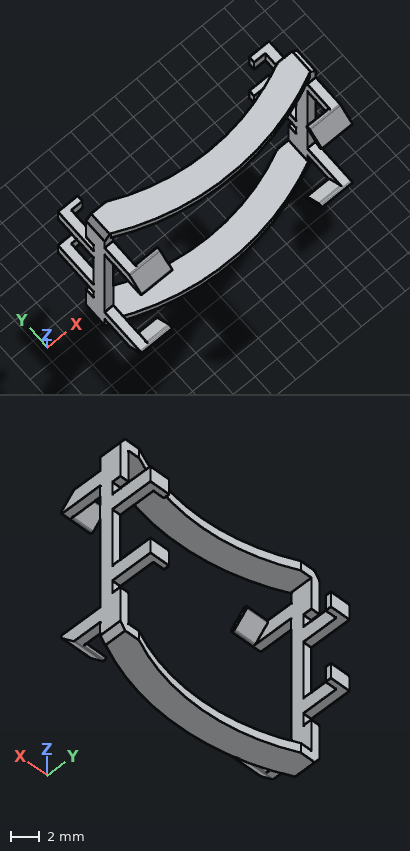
import cadquery as cq
import math

frame_width = 19.3
frame_height = 19.0
half_width = frame_width / 2
half_height = frame_height / 2

post_thickness = 0.8
post_depth = 1.2
post_end_depth = 2.0
post_end_start = 5.48
corner_chamfer_x = 0.46
corner_chamfer_z = 0.65

bar_height = 0.95
bow_half_width = 9.09
bow_depth = 2.1
bow_flat_half_width = 0.96
inner_bow_half_width = 7.84
inner_bow_lowest = 0.21

rear_reach = 5.0
rear_lip_length = 1.81
rear_lip_thickness = 0.52
rear_hook_bottom = 2.78

hook_height = 1.5
catch_bottom = 6.0
catch_width = 2.82
catch_reach = 3.92
catch_plate_thickness = 0.39
catch_fillet = 0.15


def box(x0, x1, y0, y1, z0, z1):
    """Block between two opposite corners."""
    return cq.Workplane("XY").box(x1 - x0, y1 - y0, z1 - z0, centered=False).translate((x0, y0, z0))


def side_profile(points, width):
    """Solid from a closed (Y, Z) outline, running inward from the left side."""
    return cq.Workplane("YZ", origin=(-half_width, 0, 0)).polyline(points).close().extrude(width)


def make_post():
    """Left post with its deeper ends."""
    return side_profile(
        [
            (0, -half_height),
            (post_end_depth, -half_height),
            (post_end_depth, -post_end_start),
            (post_depth, -post_end_start),
            (post_depth, post_end_start),
            (post_end_depth, post_end_start),
            (post_end_depth, half_height),
            (0, half_height),
        ],
        post_thickness,
    )


def make_top_bar():
    """Upper bar; its front is a shallow arc with a short flat in the middle."""
    bow_radius = (bow_half_width**2 + bow_depth**2) / (2 * bow_depth)

    def front_point(x):
        return (x, bow_radius - bow_depth - math.sqrt(bow_radius**2 - x**2))

    arc_middle = (bow_half_width + bow_flat_half_width) / 2
    return (
        cq.Workplane("XY", origin=(0, 0, half_height - bar_height))
        .moveTo(-half_width, 0)
        .lineTo(-bow_half_width, 0)
        .threePointArc(front_point(-arc_middle), front_point(-bow_flat_half_width))
        .lineTo(*front_point(bow_flat_half_width))
        .threePointArc(front_point(arc_middle), (bow_half_width, 0))
        .lineTo(half_width, 0)
        .lineTo(half_width, post_end_depth)
        .lineTo(inner_bow_half_width, post_end_depth)
        .threePointArc((0, inner_bow_lowest), (-inner_bow_half_width, post_end_depth))
        .lineTo(-half_width, post_end_depth)
        .close()
        .extrude(bar_height)
    )


def make_rear_hook():
    """Upper left rear hook: an arm with a lip turned inward."""
    inner_x = -half_width + post_thickness
    lip_x = -half_width + rear_lip_length
    top = rear_hook_bottom + hook_height
    arm = box(-half_width, inner_x, 0, rear_reach, rear_hook_bottom, top)
    lip = box(-half_width, lip_x, rear_reach - rear_lip_thickness, rear_reach, rear_hook_bottom, top)
    return arm.union(lip)


def make_front_catch():
    """Upper left catch: the wide plate slopes forward and down, with all long edges rounded."""
    top = catch_bottom + hook_height
    acute_setback = catch_fillet / math.tan(math.radians(22.5))
    obtuse_setback = catch_fillet * math.tan(math.radians(22.5))
    plate_length_y = catch_plate_thickness * math.sqrt(2)
    tip_y = -catch_reach - acute_setback + catch_fillet
    shoulder_y = tip_y + hook_height
    plate = side_profile(
        [
            (tip_y, catch_bottom),
            (tip_y + plate_length_y, catch_bottom),
            (shoulder_y + plate_length_y, top),
            (shoulder_y, top),
        ],
        catch_width,
    ).edges("|X").fillet(catch_fillet)
    arm = side_profile(
        [
            (0, catch_bottom),
            (tip_y + acute_setback, catch_bottom),
            (shoulder_y + obtuse_setback, top),
            (0, top),
        ],
        post_thickness,
    )
    return arm.union(plate)


def make_corner_cutter():
    """Wedge removed from the upper left outer corner."""
    return (
        cq.Workplane("XZ")
        .moveTo(-half_width, half_height)
        .lineTo(-half_width + corner_chamfer_x, half_height)
        .lineTo(-half_width, half_height - corner_chamfer_z)
        .close()
        .extrude(-post_end_depth)
    )


def with_mirror(body, plane):
    """Body together with its mirror image."""
    return body.union(body.mirror(plane))


upper_hooks = make_rear_hook().union(make_front_catch())
side = make_post().union(with_mirror(upper_hooks, "XY"))
bars = with_mirror(make_top_bar(), "XY")
corner_cutters = with_mirror(with_mirror(make_corner_cutter(), "XY"), "YZ")

result = with_mirror(side, "YZ").union(bars).cut(corner_cutters)